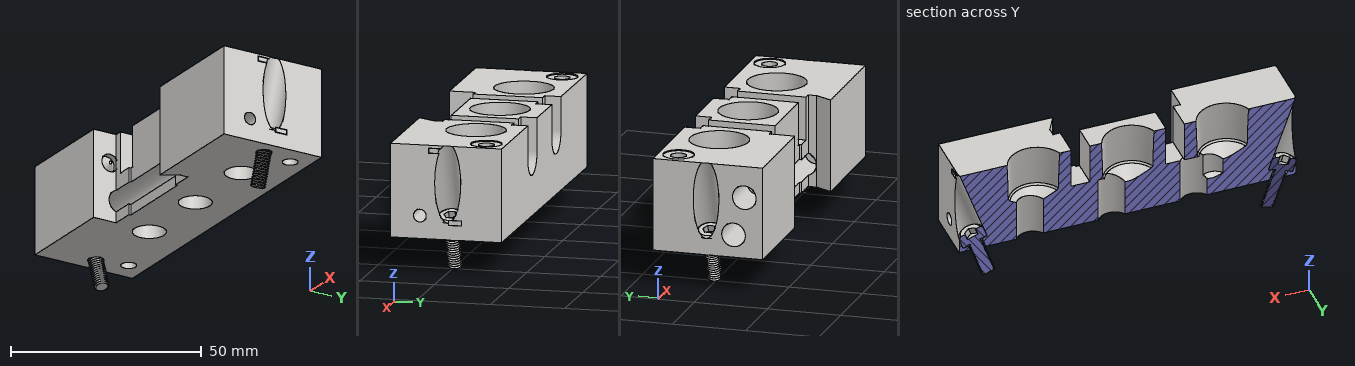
import cadquery as cq
import math

LENGTH = 94.7
DEPTH = 30.0
HEIGHT = 25.2
THROUGH = 2 * LENGTH

MOUTH_LEFT = 29.45
MOUTH_RIGHT = 65.3
PAD_FACE_Y = -23.1
RELIEF_DEPTH = 0.6
RELIEF_LEFT = 35.8
RELIEF_RIGHT = 59.0
DOVETAIL_ANGLE = 30.0
DOVETAIL_DEPTH = 4.7

BORE_CENTRE_X = LENGTH / 2
BORE_Y = -12.0
BORE_PITCH = 26.5
BORE_DIAMETER = 15.9
BORE_FLOOR_DIAMETER = 15.2
BORE_DEPTH = 11.4
SEAT_DIAMETER = 14.4
SEAT_CHAMFER = 0.6
DRILL_POINT_ANGLE = 118.0
OUTLET_CENTRE_X = 51.9
OUTLET_PITCH = 23.0
OUTLET_Y = -12.5
OUTLET_DIAMETER = 8.9
PILOT_X = 23.75
PILOT_DIAMETER = 7.9
PILOT_SHOULDER_Z = 6.2

SLOT_PITCH = BORE_PITCH
SLOT_WIDTH = 5.1
SLOT_FLOOR_Z = 13.4
HEAD_RECESS_WIDTH = 10.1
HEAD_RECESS_DEPTH = 4.4

CORNER_INSET_X = 5.4
CORNER_INSET_Y = 5.4
CORNER_HOLE_DIAMETER = 4.2
CORNER_HOLE_TILT = 3.5
CORNER_RECESS_DIAMETER = 8.3
CORNER_RECESS_DEPTH = 0.3

SIDE_HOLE_DIAMETER = 6.5
LOW_HOLE_Y = -22.0
LOW_HOLE_Z = 6.2
LOW_HOLE_DEPTH = 76.0
LOW_HOLE_EXIT_DIAMETER = 3.4
SET_SCREW_Y = -25.0
SET_SCREW_Z = 16.6

SET_SCREW_START_X = 13.3
SET_SCREW_PROUD = 0.3
SET_SCREW_TIP_DIAMETER = 0.8
SET_SCREW_DIAMETER = 4.9
SET_SCREW_POINT_LENGTH = 2.2
SET_SCREW_HEX = 3.0
SET_SCREW_HEX_DEPTH = 3.3

CAP_TILT = 19.3
FOOT_INSET = 5.3
CAP_Y = -14.5
CAP_HEAD_DIAMETER = 7.0
CAP_HEAD_HEIGHT = 4.0
CAP_HEAD_CHAMFER = 0.6
CAP_SEAT = 2.6
CAP_LENGTH = 11.8
CAP_THREAD_DIAMETER = 4.0
CAP_CORE_DIAMETER = 3.2
CAP_THREAD_PITCH = 0.7
CAP_CLEARANCE_DIAMETER = 4.2
CAP_HEX = 3.0
CAP_HEX_DEPTH = 2.0

MARK_HEIGHT = 0.3
MARK_WIDTH = 3.5
MARK_THICKNESS = 1.3
UPPER_MARK_Y = -17.9
UPPER_MARK_Z = 23.75
LOWER_MARK_Y = -12.5
LOWER_MARK_Z = 4.7


def x_cylinder(diameter, x_start, x_end, y, z):
    return (
        cq.Workplane("YZ", origin=(x_start, y, z))
        .circle(diameter / 2)
        .extrude(x_end - x_start)
    )


def z_cylinder(diameter, x, y, z_start, z_end):
    return (
        cq.Workplane("XY", origin=(x, y, z_start))
        .circle(diameter / 2)
        .extrude(z_end - z_start)
    )


def mirror_across_middle(shape):
    return shape.mirror("YZ", (LENGTH / 2, 0, 0))


def tilted_plane(origin, angle):
    """Horizontal plane at the origin, turned so that its normal leans toward -X by the angle."""
    tilt = math.radians(angle)
    return cq.Plane(
        origin=origin,
        xDir=(math.cos(tilt), 0, math.sin(tilt)),
        normal=(-math.sin(tilt), 0, math.cos(tilt)),
    )


def cap_axis_plane():
    """Plane at the left cap screw's foot; its normal runs up the screw axis."""
    return tilted_plane((FOOT_INSET, CAP_Y, 0), CAP_TILT)


def block_outline():
    tip_overhang = DOVETAIL_DEPTH * math.tan(math.radians(DOVETAIL_ANGLE))
    return (
        cq.Workplane("XY")
        .moveTo(0, 0)
        .lineTo(0, -DEPTH)
        .lineTo(MOUTH_LEFT, -DEPTH)
        .lineTo(MOUTH_LEFT, PAD_FACE_Y)
        .lineTo(RELIEF_LEFT, PAD_FACE_Y)
        .lineTo(RELIEF_LEFT, PAD_FACE_Y + RELIEF_DEPTH)
        .lineTo(RELIEF_RIGHT, PAD_FACE_Y + RELIEF_DEPTH)
        .lineTo(RELIEF_RIGHT, PAD_FACE_Y)
        .lineTo(MOUTH_RIGHT, PAD_FACE_Y)
        .lineTo(MOUTH_RIGHT, DOVETAIL_DEPTH - DEPTH)
        .lineTo(MOUTH_RIGHT - tip_overhang, -DEPTH)
        .lineTo(LENGTH, -DEPTH)
        .lineTo(LENGTH, 0)
        .close()
        .extrude(HEIGHT)
    )


def drill_point_depth(radius):
    return radius / math.tan(math.radians(DRILL_POINT_ANGLE / 2))


def stepped_bore(x):
    """Slightly tapered bore with a small chamfered seat and a drill-point floor."""
    seat_radius = SEAT_DIAMETER / 2
    floor_z = HEIGHT - BORE_DEPTH
    chamfer_z = floor_z - SEAT_CHAMFER
    return (
        cq.Workplane("XZ", origin=(x, BORE_Y, 0))
        .moveTo(0, HEIGHT)
        .lineTo(BORE_DIAMETER / 2, HEIGHT)
        .lineTo(BORE_FLOOR_DIAMETER / 2, floor_z)
        .lineTo(seat_radius, chamfer_z)
        .lineTo(0, chamfer_z - drill_point_depth(seat_radius))
        .close()
        .revolve(360, (0, 0, 0), (0, 1, 0))
    )


def pilot_hole():
    """Smaller drilled hole that deepens the floor of the left bore."""
    radius = PILOT_DIAMETER / 2
    return (
        cq.Workplane("XZ", origin=(PILOT_X, OUTLET_Y, 0))
        .moveTo(0, HEIGHT - BORE_DEPTH)
        .lineTo(radius, HEIGHT - BORE_DEPTH)
        .lineTo(radius, PILOT_SHOULDER_Z)
        .lineTo(0, PILOT_SHOULDER_Z - drill_point_depth(radius))
        .close()
        .revolve(360, (0, 0, 0), (0, 1, 0))
    )


def outlet(x):
    return z_cylinder(OUTLET_DIAMETER, x, OUTLET_Y, 0, HEIGHT - BORE_DEPTH - SEAT_CHAMFER)


def bolt_slot(x):
    slot = (
        cq.Workplane("XY", origin=(x, PAD_FACE_Y / 2, SLOT_FLOOR_Z))
        .rect(SLOT_WIDTH, -PAD_FACE_Y)
        .extrude(HEIGHT)
    )
    head_z = SLOT_FLOOR_Z + SLOT_WIDTH / 2
    head = (
        cq.Workplane("XZ", origin=(x, 0, head_z))
        .circle(HEAD_RECESS_WIDTH / 2)
        .extrude(HEAD_RECESS_DEPTH)
    )
    head_entry = (
        cq.Workplane("XZ", origin=(x, 0, head_z))
        .rect(HEAD_RECESS_WIDTH, HEIGHT, centered=(True, False))
        .extrude(HEAD_RECESS_DEPTH)
    )
    return slot.union(head).union(head_entry)


def corner_hole():
    mouth = (CORNER_INSET_X, -CORNER_INSET_Y, HEIGHT)
    hole = (
        cq.Workplane(tilted_plane(mouth, CORNER_HOLE_TILT))
        .circle(CORNER_HOLE_DIAMETER / 2)
        .extrude(THROUGH, both=True)
    )
    recess = z_cylinder(
        CORNER_RECESS_DIAMETER, CORNER_INSET_X, -CORNER_INSET_Y, HEIGHT - CORNER_RECESS_DEPTH, HEIGHT
    )
    return hole.union(recess)


def cap_screw_hole():
    plane = cq.Workplane(cap_axis_plane())
    clearance = plane.circle(CAP_CLEARANCE_DIAMETER / 2).extrude(HEIGHT, both=True)
    head = plane.workplane(offset=CAP_SEAT).circle(CAP_HEAD_DIAMETER / 2).extrude(THROUGH)
    return clearance.union(head)


def low_hole():
    """Wide hole that also breaks into the mouth floor as a groove, with a narrow exit."""
    wide = x_cylinder(SIDE_HOLE_DIAMETER, 0, LOW_HOLE_DEPTH, LOW_HOLE_Y, LOW_HOLE_Z)
    narrow = x_cylinder(LOW_HOLE_EXIT_DIAMETER, 0, LENGTH, LOW_HOLE_Y, LOW_HOLE_Z)
    return wide.union(narrow)


def set_screw_hole():
    wide = x_cylinder(SIDE_HOLE_DIAMETER, 0, SET_SCREW_START_X, SET_SCREW_Y, SET_SCREW_Z)
    narrow = x_cylinder(SET_SCREW_DIAMETER, 0, MOUTH_LEFT, SET_SCREW_Y, SET_SCREW_Z)
    return wide.union(narrow)


def end_mark(y, z):
    return (
        cq.Workplane("YZ", origin=(LENGTH, y, z))
        .rect(MARK_WIDTH, MARK_THICKNESS)
        .extrude(MARK_HEIGHT)
    )


def make_block():
    block = block_outline()
    block = block.union(end_mark(UPPER_MARK_Y, UPPER_MARK_Z))
    block = block.union(end_mark(LOWER_MARK_Y, LOWER_MARK_Z))
    for i in (-1, 0, 1):
        block = block.cut(stepped_bore(BORE_CENTRE_X + i * BORE_PITCH))
        block = block.cut(outlet(OUTLET_CENTRE_X + i * OUTLET_PITCH))
    block = block.cut(pilot_hole())
    for i in (-0.5, 0.5):
        block = block.cut(bolt_slot(BORE_CENTRE_X + i * SLOT_PITCH))
    for cutter in (corner_hole(), cap_screw_hole()):
        block = block.cut(cutter).cut(mirror_across_middle(cutter))
    return block.cut(low_hole()).cut(set_screw_hole())


def make_set_screw():
    radius = SET_SCREW_DIAMETER / 2
    tip_x = MOUTH_LEFT + SET_SCREW_PROUD
    body = (
        cq.Workplane("XY", origin=(0, SET_SCREW_Y, SET_SCREW_Z))
        .moveTo(SET_SCREW_START_X, 0)
        .lineTo(SET_SCREW_START_X, radius)
        .lineTo(tip_x - SET_SCREW_POINT_LENGTH, radius)
        .lineTo(tip_x, SET_SCREW_TIP_DIAMETER / 2)
        .lineTo(tip_x, 0)
        .close()
        .revolve(360, (0, 0, 0), (1, 0, 0))
    )
    socket = (
        cq.Workplane("YZ", origin=(SET_SCREW_START_X, SET_SCREW_Y, SET_SCREW_Z))
        .transformed(rotate=(0, 0, 30))
        .polygon(6, SET_SCREW_HEX, circumscribed=True)
        .extrude(SET_SCREW_HEX_DEPTH)
    )
    return body.cut(socket)


def make_cap_screw():
    """Left cap screw; its thread is a stack of ring-shaped ridges."""
    plane = cap_axis_plane()
    crest = CAP_THREAD_DIAMETER / 2
    root = CAP_CORE_DIAMETER / 2
    turns = math.floor(CAP_LENGTH / CAP_THREAD_PITCH)
    end = CAP_SEAT - CAP_LENGTH
    top = CAP_SEAT + CAP_HEAD_HEIGHT
    profile = cq.Workplane("XZ").moveTo(0, end).lineTo(root, end)
    for turn in range(turns):
        root_height = end + turn * CAP_THREAD_PITCH
        profile = profile.lineTo(crest, root_height + CAP_THREAD_PITCH / 2)
        profile = profile.lineTo(root, root_height + CAP_THREAD_PITCH)
    body = (
        profile.lineTo(root, CAP_SEAT)
        .lineTo(CAP_HEAD_DIAMETER / 2, CAP_SEAT)
        .lineTo(CAP_HEAD_DIAMETER / 2, top - CAP_HEAD_CHAMFER)
        .lineTo(CAP_HEAD_DIAMETER / 2 - CAP_HEAD_CHAMFER, top)
        .lineTo(0, top)
        .close()
        .revolve(360, (0, 0, 0), (0, 1, 0))
    )
    socket = (
        cq.Workplane("XY", origin=(0, 0, top))
        .polygon(6, CAP_HEX, circumscribed=True)
        .extrude(-CAP_HEX_DEPTH)
    )
    return cq.Workplane(body.cut(socket).val().located(plane.location))


block = make_block()
set_screw = make_set_screw()
left_cap_screw = make_cap_screw()
cap_screws = [left_cap_screw, mirror_across_middle(left_cap_screw)]
result = cq.Compound.makeCompound(
    [block.val(), set_screw.val()] + [screw.val() for screw in cap_screws]
)